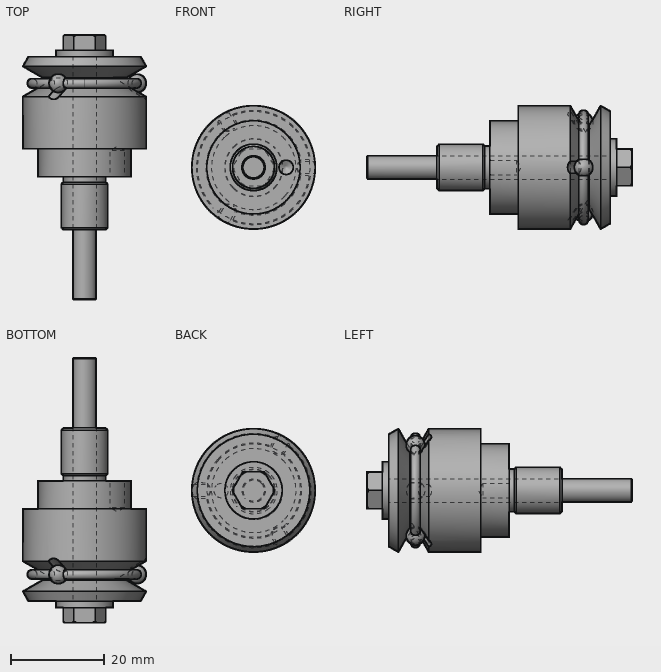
import cadquery as cq
import math

rod_radius = 2.5
rod_tip_chamfer = 0.2
total_length = 56.9
head_base_y = 53.6
flange_radius = 6.15
head_across_flats = 7.95
head_corner_radius = head_across_flats / 2 / math.cos(math.pi / 6)
head_chamfer = 0.35

rim_radius = 13.25
shank_end_y = 15.0
shank_radius = 5.0
shank_chamfer = 0.5
neck_start_y = 25.25
neck_radius = 4.6
spigot_end_y = 26.4
spigot_radius = 10.0
drum_start_y = 32.45
drum_rim_y = 43.65
cone_angle = math.radians(30)

hole_offset = 7.0
hole_radius = 1.55
hole_depth = 5.7
drill_point_angle = math.radians(118)

plate_back_y = 52.25
plate_back_radius = 12.05
plate_rim_y = 50.15
plate_hub_radius = 9.05

ring_y = 46.5
ring_radius = 11.25
wire_radius = 1.0
ball_radius = 2.0
ball_count = 3

plate_face_y = plate_rim_y - (rim_radius - plate_hub_radius) * math.tan(cone_angle)
joint_radius = rim_radius - (plate_face_y - drum_rim_y) / math.tan(cone_angle)


def revolve_about_y(points):
    """Revolve a closed (radius, y) profile about the Y axis."""
    return cq.Workplane("XY").polyline(points).close().revolve(360, (0, 0, 0), (0, 1, 0))


def cylinder_along(start, direction, radius, length):
    """Solid cylinder from a start point along a direction."""
    return cq.Workplane(cq.Solid.makeCylinder(radius, length, cq.Vector(*start), cq.Vector(*direction)))


def place_around_y(body, index):
    """Turn a body from the +X direction to the place of the given ball."""
    return body.rotate((0, 0, 0), (0, 1, 0), index * 360 / ball_count)


def make_rod():
    rod = revolve_about_y([
        (0, 0),
        (rod_radius - rod_tip_chamfer, 0),
        (rod_radius, rod_tip_chamfer),
        (rod_radius, plate_back_y),
        (flange_radius, plate_back_y),
        (flange_radius, head_base_y),
        (0, head_base_y),
    ])
    head_plane = cq.Plane((0, head_base_y, 0), (1, 0, 0), (0, 1, 0))
    head = cq.Workplane(head_plane).polygon(6, 2 * head_corner_radius).extrude(total_length - head_base_y)
    envelope = revolve_about_y([
        (0, head_base_y),
        (head_corner_radius, head_base_y),
        (head_corner_radius, total_length - head_chamfer),
        (head_corner_radius - head_chamfer, total_length),
        (0, total_length),
    ])
    return rod.union(head.intersect(envelope))


def make_drilled_hole():
    point_length = hole_radius / math.tan(drill_point_angle / 2)
    hole = revolve_about_y([
        (0, spigot_end_y),
        (hole_radius, spigot_end_y),
        (hole_radius, spigot_end_y + hole_depth),
        (0, spigot_end_y + hole_depth + point_length),
    ])
    return hole.translate((hole_offset, 0, 0))


def make_ball_groove():
    """Round groove for one ball, parallel to the housing cone."""
    length = 2 * rim_radius
    direction = (math.cos(cone_angle), -math.sin(cone_angle), 0)
    groove = cylinder_along((ring_radius, ring_y, 0), direction, ball_radius, length)
    return groove.union(cq.Workplane("XY").sphere(ball_radius).translate((ring_radius, ring_y, 0)))


def make_housing():
    housing = revolve_about_y([
        (rod_radius, shank_end_y),
        (shank_radius - shank_chamfer, shank_end_y),
        (shank_radius, shank_end_y + shank_chamfer),
        (shank_radius, neck_start_y - (shank_radius - neck_radius)),
        (neck_radius, neck_start_y),
        (neck_radius, spigot_end_y),
        (spigot_radius, spigot_end_y),
        (spigot_radius, drum_start_y),
        (rim_radius, drum_start_y),
        (rim_radius, drum_rim_y),
        (joint_radius, plate_face_y),
        (rod_radius, plate_face_y),
    ])
    housing = housing.cut(make_drilled_hole())
    for index in range(ball_count):
        housing = housing.cut(place_around_y(make_ball_groove(), index))
    return housing


def make_plate():
    return revolve_about_y([
        (rod_radius, plate_face_y),
        (plate_hub_radius, plate_face_y),
        (rim_radius, plate_rim_y),
        (plate_back_radius, plate_back_y),
        (rod_radius, plate_back_y),
    ])


def make_ball_ring():
    ring = cq.Workplane(cq.Solid.makeTorus(ring_radius, wire_radius, cq.Vector(0, ring_y, 0), cq.Vector(0, 1, 0)))
    ball = cq.Workplane("XY").sphere(ball_radius).translate((ring_radius, ring_y, 0))
    for index in range(ball_count):
        ring = ring.union(place_around_y(ball, index))
    return ring


rod = make_rod()
housing = make_housing()
plate = make_plate()
ball_ring = make_ball_ring()

result = cq.Compound.makeCompound([body.solids().val() for body in (rod, housing, plate, ball_ring)])